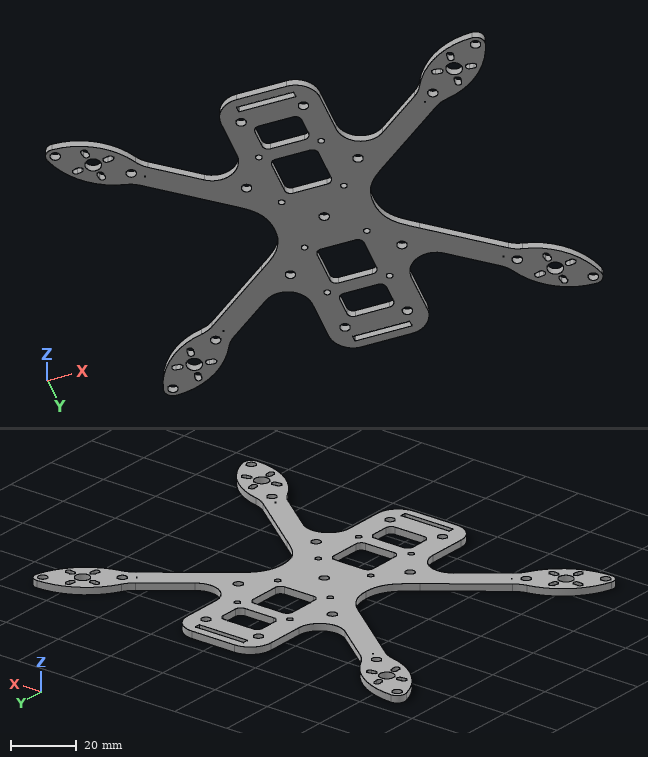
import cadquery as cq
import math

length = 141.7
width = 110.0
thickness = 2.5

body_half_width = 16.0
body_corner_radius = 8.0
strap_slot_length = 18.4
strap_slot_width = 2.0
strap_slot_y = 51.0
window_width = 15.0
window_corner_radius = 2.0
large_window_height = 15.0
large_window_y = 20.0
small_window_height = 10.0
small_window_y = 37.3

screw_diameter = 3.1
small_hole_diameter = 2.0
hole_column_x = 10.0
end_screw_y = 45.6
small_hole_rows = (10.0, 30.0)
shoulder_screw_x = 18.0
shoulder_screw_y = 19.3

arm_angle = math.radians(37.3)
arm_half_width = 4.0
waist_end_distance = 29.0
armpit_radius = 8.0
motor_distance = 73.2
pad_screw_offset = 12.0
pad_half_width = 7.4
pad_side_radius = 25.0
pad_neck_radius = 9.9

shaft_hole_diameter = 5.0
motor_slot_width = 2.0
motor_slot_inner = 4.5
motor_slot_outer = 6.0
motor_slot_count = 4
first_slot_angle = 45
pilot_hole_diameter = 0.3
pilot_hole_distance = 56.8

arm_cos = math.cos(arm_angle)
arm_sin = math.sin(arm_angle)


def on_arm(along, across=0.0):
    """Plate point at a distance along the arm axis and to its left."""
    return (along * arm_cos - across * arm_sin, along * arm_sin + across * arm_cos)


def in_all_quadrants(x, y):
    return [(x, y), (-x, y), (-x, -y), (x, -y)]


def between(start, end, fraction):
    return tuple(a + (b - a) * fraction for a, b in zip(start, end))


def arc_point(center, radius, angle):
    return (center[0] + radius * math.cos(angle), center[1] + radius * math.sin(angle))


def quarter_plate():
    tip_distance = motor_distance + pad_screw_offset
    tip_radius = length / 2 - tip_distance * arm_cos

    side_drop = pad_side_radius - pad_half_width
    side_along = tip_distance - math.sqrt((pad_side_radius - tip_radius) ** 2 - side_drop**2)
    tip_tangent_angle = math.atan2(side_drop, tip_distance - side_along)
    tip_tangent_along, tip_tangent_across = arc_point((tip_distance, 0), tip_radius, tip_tangent_angle)

    neck_across = arm_half_width + pad_neck_radius
    neck_span = math.sqrt((pad_side_radius + pad_neck_radius) ** 2 - (neck_across + side_drop) ** 2)
    neck_along = side_along - neck_span
    neck_fraction = pad_neck_radius / (pad_side_radius + pad_neck_radius)
    neck_end_along, neck_end_across = between(
        (neck_along, neck_across), (side_along, -side_drop), neck_fraction
    )
    neck_turn = math.asin(neck_span / (pad_side_radius + pad_neck_radius))
    neck_mid_along, neck_mid_across = arc_point(
        (neck_along, neck_across), pad_neck_radius, (neck_turn - math.pi) / 2
    )

    waist_start = (body_half_width, 0)
    waist_end = on_arm(waist_end_distance, -arm_half_width)

    armpit_x = body_half_width + armpit_radius
    armpit_y = (armpit_x * arm_sin + arm_half_width + armpit_radius) / arm_cos
    armpit_end_angle = arm_angle - math.pi / 2
    armpit_start = arc_point((armpit_x, armpit_y), armpit_radius, armpit_end_angle)
    armpit_mid = arc_point((armpit_x, armpit_y), armpit_radius, (armpit_end_angle - math.pi) / 2)

    corner_center = (body_half_width - body_corner_radius, width / 2 - body_corner_radius)

    outline = (
        cq.Workplane("XY")
        .lineTo(*waist_start)
        .spline([waist_start, waist_end], tangents=[(0, 1), (arm_cos, arm_sin)])
        .lineTo(*on_arm(neck_along, -arm_half_width))
        .threePointArc(on_arm(neck_mid_along, -neck_mid_across), on_arm(neck_end_along, -neck_end_across))
        .threePointArc(on_arm(side_along, -pad_half_width), on_arm(tip_tangent_along, -tip_tangent_across))
        .threePointArc(on_arm(tip_distance + tip_radius), on_arm(tip_tangent_along, tip_tangent_across))
        .threePointArc(on_arm(side_along, pad_half_width), on_arm(neck_end_along, neck_end_across))
        .threePointArc(on_arm(neck_mid_along, neck_mid_across), on_arm(neck_along, arm_half_width))
        .lineTo(*armpit_start)
        .threePointArc(armpit_mid, (body_half_width, armpit_y))
        .lineTo(body_half_width, corner_center[1])
        .threePointArc(
            arc_point(corner_center, body_corner_radius, math.pi / 4),
            (corner_center[0], width / 2),
        )
        .lineTo(0, width / 2)
        .close()
    )
    return outline.extrude(thickness)


def holes(points, diameter):
    return cq.Workplane("XY").pushPoints(points).circle(diameter / 2).extrude(thickness)


def arm_cuts():
    """Motor mount and screw holes of the arm in the +X +Y quadrant."""
    screws = [on_arm(motor_distance + offset) for offset in (-pad_screw_offset, pad_screw_offset)]
    cuts = holes(screws, screw_diameter)
    cuts = cuts.union(holes([on_arm(motor_distance)], shaft_hole_diameter))
    cuts = cuts.union(holes([on_arm(pilot_hole_distance)], pilot_hole_diameter))
    slot_middle = (motor_slot_inner + motor_slot_outer) / 2
    slot_length = motor_slot_outer - motor_slot_inner + motor_slot_width
    slots = (
        cq.Workplane("XY")
        .transformed(offset=(*on_arm(motor_distance), 0), rotate=(0, 0, math.degrees(arm_angle)))
        .polarArray(slot_middle, first_slot_angle, 360, motor_slot_count)
        .slot2D(slot_length, motor_slot_width)
        .extrude(thickness)
    )
    return cuts.union(slots)


def window(height, y):
    return (
        cq.Workplane("XY")
        .pushPoints([(0, y), (0, -y)])
        .rect(window_width, height)
        .extrude(thickness)
        .edges("|Z")
        .fillet(window_corner_radius)
    )


def strap_slots():
    return (
        cq.Workplane("XY")
        .pushPoints([(0, strap_slot_y), (0, -strap_slot_y)])
        .rect(strap_slot_length, strap_slot_width)
        .extrude(thickness)
    )


quarter = quarter_plate().cut(arm_cuts())
half = quarter.union(quarter.mirror("YZ"))
plate = half.union(half.mirror("XZ")).clean()

body_screws = in_all_quadrants(hole_column_x, end_screw_y)
body_screws += in_all_quadrants(shoulder_screw_x, shoulder_screw_y)
body_screws.append((0, 0))
plate = plate.cut(holes(body_screws, screw_diameter))

for row_y in small_hole_rows:
    plate = plate.cut(holes(in_all_quadrants(hole_column_x, row_y), small_hole_diameter))

plate = plate.cut(window(large_window_height, large_window_y))
plate = plate.cut(window(small_window_height, small_window_y))
result = plate.cut(strap_slots())